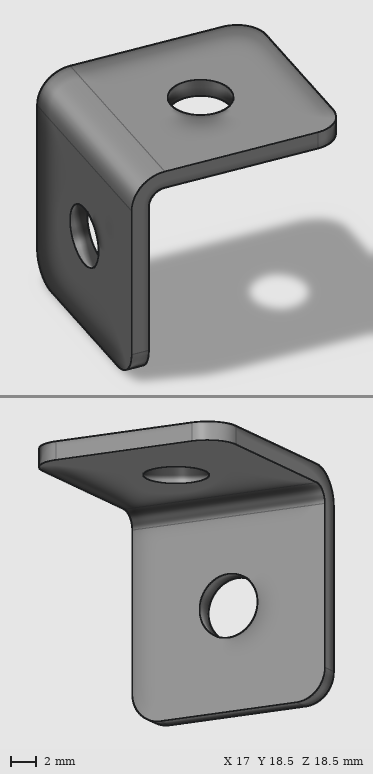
import cadquery as cq

width = 17.0
leg_length = 18.5
thickness = 1.5
inner_bend_radius = 1.35
corner_radius = 2.5
hole_diameter = 5.1

outer_bend_radius = inner_bend_radius + thickness
hole_distance = leg_length - width / 2


def make_bent_strip():
    """Equal-leg angle: one leg along +Y, the other along -Z, outer faces at Y = 0 and Z = 0."""
    profile = (
        cq.Workplane("YZ")
        .moveTo(0, 0)
        .lineTo(leg_length, 0)
        .lineTo(leg_length, -thickness)
        .lineTo(thickness, -thickness)
        .lineTo(thickness, -leg_length)
        .lineTo(0, -leg_length)
        .close()
    )
    strip = profile.extrude(width / 2, both=True)
    strip = strip.edges(cq.selectors.NearestToPointSelector((0, 0, 0))).fillet(outer_bend_radius)
    inner_corner = cq.selectors.NearestToPointSelector((0, thickness, -thickness))
    return strip.edges("|X").edges(inner_corner).fillet(inner_bend_radius)


def round_free_corners(strip):
    """Round the two outer corners at the free end of each leg."""
    strip = strip.faces(">Y").edges("|Z").fillet(corner_radius)
    return strip.faces("<Z").edges("|Y").fillet(corner_radius)


def cut_holes(strip):
    """Drill one through hole in each leg."""
    hole_radius = hole_diameter / 2
    top_hole = (
        cq.Workplane("XY").center(0, hole_distance).circle(hole_radius).extrude(-thickness)
    )
    front_hole = (
        cq.Workplane("XZ").center(0, -hole_distance).circle(hole_radius).extrude(-thickness)
    )
    return strip.cut(top_hole).cut(front_hole)


result = cut_holes(round_free_corners(make_bent_strip()))